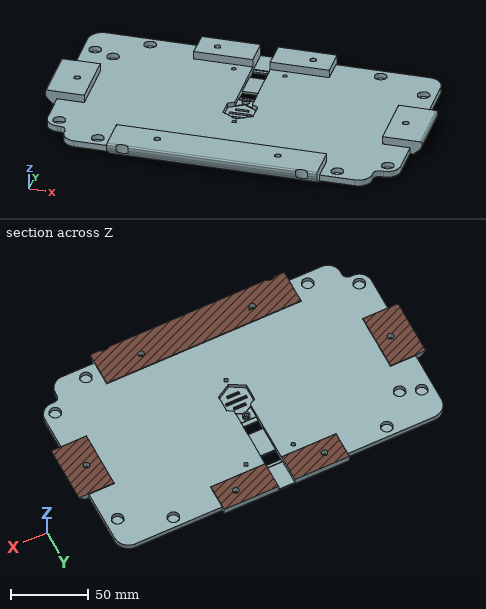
import cadquery as cq
import math

length = 252.0
height = 10.0

plate_thick = 4.5
plate_half_x = 118.2
plate_back_y = 67.3
plate_front_y = -67.8
back_corner_radius = 10.0
front_corner_radius = 9.0

notch_width = 15.0
notch_depth = 15.0
notch_radius = 4.0

side_block_width = 26.2
side_block_half_y = 20.2
back_block_half_x = 45.4
back_block_y = 70.0
back_block_width = 19.7
front_block_half_x = 70.3
front_block_y = -74.8
front_block_width = 25.0
rim_chamfer = 5.3
chamfer_blend_radius = 4.0
top_edge_radius = 1.0

thumb_x = 60.0
thumb_radius = 5.5
thumb_depth = 1.8

screw_diameter = 4.0
side_screw_x = 109.9
back_screw_x = 32.0
front_screw_x = 40.3
screw_row_y = 60.2
pin_diameter = 2.8
pin_x = 17.1
pin_row_y = 45.0
front_pin_y = -18.0
magnet_diameter = 8.0
magnet_depth = 3.5
back_magnet_x = 77.0
front_magnet_x = 80.1
extra_magnet = (-96.5, 39.8)

channel_width = 11.5
channel_floor = 1.8
back_window = (42.0, 50.0)
front_window = (17.1, 24.0)
ledge_floor = 1.3
back_ledge_y = 52.2
front_ledge_y = 14.0

hex_y = -2.8
hex_radius = 11.5
hex_floor = 1.3
slot_height = 1.8
slot_pitch = 4.8
middle_slot_width = 14.9
outer_slot_width = 8.5

boss_diameter = 5.0
boss_y = 11.3
boss_top = 3.8


def box(x_range, y_range, z_range):
    """Axis-aligned box between the given limits."""
    (x0, x1), (y0, y1), (z0, z1) = x_range, y_range, z_range
    return cq.Workplane("XY").box(x1 - x0, y1 - y0, z1 - z0, centered=False).translate((x0, y0, z0))


def cylinders(points, diameter, floor=0.0, top=height):
    """Vertical cylinders at the given points, by default as tall as the part."""
    return (
        cq.Workplane("XY", origin=(0, 0, floor))
        .pushPoints(points)
        .circle(diameter / 2)
        .extrude(top - floor)
    )


def make_plate():
    plate = box((-plate_half_x, plate_half_x), (plate_front_y, plate_back_y), (0, plate_thick))
    plate = plate.edges("|Z and >Y").fillet(back_corner_radius)
    step_x = plate_half_x - notch_width
    step_y = plate_front_y + notch_depth
    for x_range in ((-plate_half_x, -step_x), (step_x, plate_half_x)):
        plate = plate.cut(box(x_range, (plate_front_y, step_y), (0, plate_thick)))
    for x in (-step_x, step_x):
        inner = cq.selectors.NearestToPointSelector((x, step_y, plate_thick / 2))
        plate = plate.edges(inner).fillet(notch_radius)
    for x, y in ((step_x, plate_front_y), (plate_half_x, step_y)):
        for side in (-1, 1):
            outer = cq.selectors.NearestToPointSelector((side * x, y, plate_thick / 2))
            plate = plate.edges(outer).fillet(front_corner_radius)
    return plate


def make_rim_clamp(reach, width, span):
    """Clamp whose outer face is at +X = reach, rounded on top and chamfered below."""
    half_turn = math.radians(45 / 2)
    tangent_length = chamfer_blend_radius * math.tan(half_turn)
    diagonal = tangent_length * math.sqrt(0.5)
    wall_start_z = rim_chamfer + tangent_length
    blend_mid = (
        reach - chamfer_blend_radius * (1 - math.cos(half_turn)),
        wall_start_z - chamfer_blend_radius * math.sin(half_turn),
    )
    top_mid_offset = top_edge_radius * (1 - math.sqrt(0.5))
    return (
        cq.Workplane("XZ")
        .moveTo(reach - width, 0)
        .lineTo(reach - rim_chamfer, 0)
        .lineTo(reach - diagonal, rim_chamfer - diagonal)
        .threePointArc(blend_mid, (reach, wall_start_z))
        .lineTo(reach, height - top_edge_radius)
        .threePointArc(
            (reach - top_mid_offset, height - top_mid_offset),
            (reach - top_edge_radius, height),
        )
        .lineTo(reach - width, height)
        .close()
        .extrude(span / 2, both=True)
    )


def make_clamps():
    side = make_rim_clamp(length / 2, side_block_width, 2 * side_block_half_y)
    front = make_rim_clamp(-front_block_y, front_block_width, 2 * front_block_half_x)
    front = front.rotate((0, 0, 0), (0, 0, 1), -90)
    thumb_y = front_block_y + thumb_depth - thumb_radius
    front = front.cut(cylinders([(-thumb_x, thumb_y), (thumb_x, thumb_y)], 2 * thumb_radius))
    back = box(
        (-back_block_half_x, back_block_half_x),
        (back_block_y - back_block_width, back_block_y),
        (0, height),
    )
    return side.union(side.mirror("YZ")).union(front).union(back)


def make_round_cutters():
    screws = []
    magnets = [extra_magnet]
    pins = [(0, front_pin_y), (0, boss_y)]
    for side in (-1, 1):
        screws += [
            (side * side_screw_x, 0),
            (side * back_screw_x, screw_row_y),
            (side * front_screw_x, -screw_row_y),
        ]
        magnets += [
            (side * back_magnet_x, screw_row_y),
            (side * front_magnet_x, -screw_row_y),
            (side * side_screw_x, pin_row_y),
            (side * side_screw_x, -pin_row_y),
        ]
        pins.append((side * pin_x, pin_row_y))
    return (
        cylinders(screws, screw_diameter)
        .union(cylinders(pins, pin_diameter))
        .union(cylinders(magnets, magnet_diameter, plate_thick - magnet_depth))
    )


def make_channel_cutter():
    across = (-channel_width / 2, channel_width / 2)
    cutter = box(across, (hex_y, back_block_y), (channel_floor, height))
    for ledge in ((back_window[1], back_ledge_y), (front_ledge_y, front_window[0])):
        cutter = cutter.union(box(across, ledge, (ledge_floor, height)))
    for window in (back_window, front_window):
        cutter = cutter.union(box(across, window, (0, height)))
    return cutter


def make_hexagon_cutter():
    cutter = (
        cq.Workplane("XY", origin=(0, hex_y, hex_floor))
        .polygon(6, 2 * hex_radius)
        .extrude(height - hex_floor)
        .rotate((0, hex_y, 0), (0, hex_y, 1), 90)
    )
    for row, width in ((-1, outer_slot_width), (0, middle_slot_width), (1, outer_slot_width)):
        y = hex_y + row * slot_pitch
        slot = box((-width / 2, width / 2), (y - slot_height / 2, y + slot_height / 2), (0, height))
        cutter = cutter.union(slot)
    return cutter


boss = cylinders([(0, boss_y)], boss_diameter, top=boss_top)

result = (
    make_plate()
    .union(make_clamps())
    .cut(make_channel_cutter())
    .cut(make_hexagon_cutter())
    .union(boss)
    .cut(make_round_cutters())
)